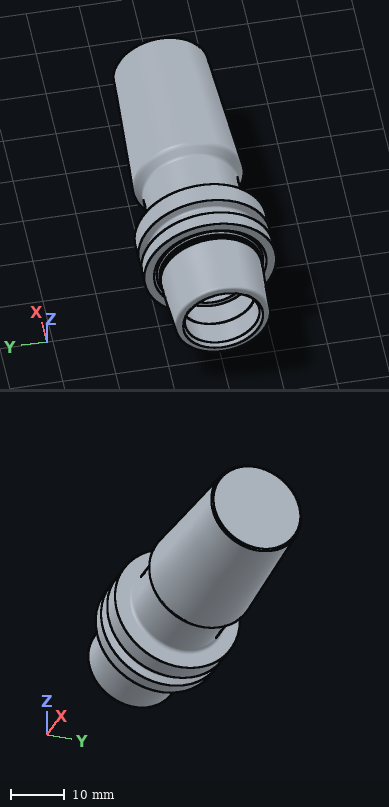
import cadquery as cq
import math

total_length = 62.9

taper_end_radius = 9.0
taper_large_radius = 9.6
taper_length = 11.8
taper_edge_radius = 0.5
neck_radius = taper_large_radius
neck_groove_radius = 9.5
neck_groove_floor_start = 12.1
neck_groove_floor_end = 12.3
neck_groove_end = 12.65

flange_diameter = 25.0
flange_radius = flange_diameter / 2
flange_start = 12.95
flange_end = 22.85
groove_floor_radius = 10.95
groove_start = 15.8
groove_floor_start = 16.35
groove_floor_end = 18.35
groove_end = 18.9
groove_fillet = 0.4

relief_mouth_radius = 10.6
relief_floor_radius = 10.05
relief_depth = 0.3

body_radius = 9.0
body_fillet = 0.8
body_end = 32.8

nose_radius = 10.5
nose_start = 35.2
nose_round_start = 34.4
nose_round_start_radius = 10.1
shoulder_start = 33.45
shoulder_start_radius = 9.3
shoulder_fillet = 1.1
nose_rounding = 1.25
nose_end_radius = 9.0
nose_edge_chamfer = 0.3

bore_mouth_radius = 7.55
bore_radius = 7.05
bore_chamfer_depth = 0.9
undercut_radius = 7.55
undercut_start = 5.5
undercut_end = 10.4
undercut_lead = 0.5
pilot_radius = 6.6
pilot_end = 12.6


def revolve_about_x(profile):
    return profile.close().revolve(360, (0, 0, 0), (1, 0, 0))


def make_outside():
    relief_floor = flange_start + relief_depth
    neck_fillet = relief_floor_radius - neck_radius
    profile = (
        cq.Workplane("XY")
        .lineTo(0, taper_end_radius - taper_edge_radius)
        .radiusArc((taper_edge_radius, taper_end_radius), taper_edge_radius)
        .lineTo(taper_length, taper_large_radius)
        .lineTo(neck_groove_floor_start, neck_groove_radius)
        .lineTo(neck_groove_floor_end, neck_groove_radius)
        .lineTo(neck_groove_end, neck_radius)
        .lineTo(relief_floor - neck_fillet, neck_radius)
        .radiusArc((relief_floor, relief_floor_radius), neck_fillet)
        .lineTo(flange_start, relief_mouth_radius)
        .lineTo(flange_start, flange_radius)
        .lineTo(flange_end, flange_radius)
        .lineTo(flange_end, body_radius + body_fillet)
        .radiusArc((flange_end + body_fillet, body_radius), -body_fillet)
        .lineTo(body_end, body_radius)
        .radiusArc((shoulder_start, shoulder_start_radius), -shoulder_fillet)
        .lineTo(nose_round_start, nose_round_start_radius)
        .radiusArc((nose_start, nose_radius), nose_rounding)
        .lineTo(total_length - nose_edge_chamfer, nose_end_radius)
        .lineTo(total_length, nose_end_radius - nose_edge_chamfer)
        .lineTo(total_length, 0)
    )
    return revolve_about_x(profile)


def make_gripper_groove():
    profile = (
        cq.Workplane("XY")
        .moveTo(groove_start, flange_radius)
        .lineTo(groove_floor_start, groove_floor_radius)
        .lineTo(groove_floor_end, groove_floor_radius)
        .lineTo(groove_end, flange_radius)
    )
    ring = revolve_about_x(profile)
    floor_edges = ring.edges("%CIRCLE").filter(
        lambda edge: math.isclose(edge.radius(), groove_floor_radius, rel_tol=1e-6)
    )
    return floor_edges.fillet(groove_fillet)


def make_bore():
    profile = (
        cq.Workplane("XY")
        .lineTo(0, bore_mouth_radius)
        .lineTo(bore_chamfer_depth, bore_radius)
        .lineTo(undercut_start, bore_radius)
        .lineTo(undercut_start + undercut_lead, undercut_radius)
        .lineTo(undercut_end, undercut_radius)
        .lineTo(undercut_end, pilot_radius)
        .lineTo(pilot_end, pilot_radius)
        .lineTo(pilot_end, 0)
    )
    return revolve_about_x(profile)


result = make_outside().cut(make_gripper_groove()).cut(make_bore())